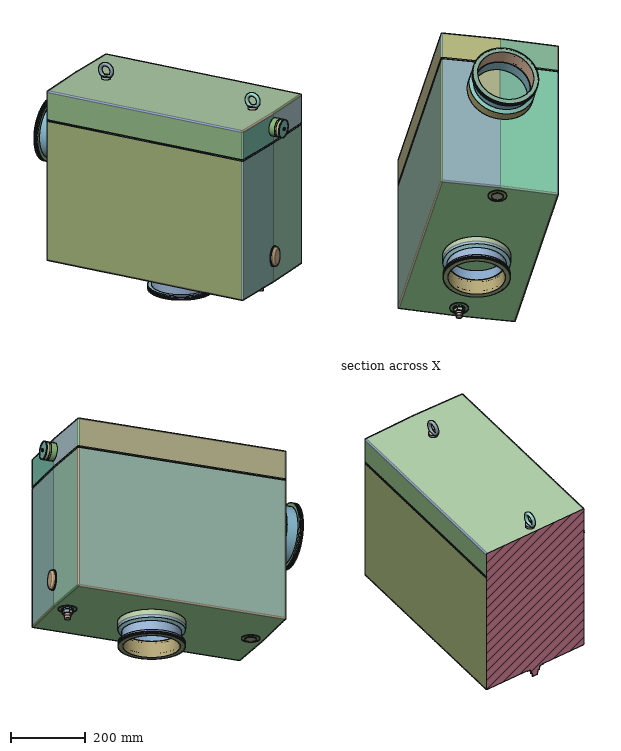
import cadquery as cq

BODY_LENGTH = 603.5
BODY_WIDTH = 320.0
BODY_HEIGHT = 486.0
END_BULGE = 3.6
EDGE_RADIUS = 4.0
END_X = BODY_LENGTH / 2 + END_BULGE

LID_HEIGHT = 84.0
JOINT_CHAMFER = 2.3

DUCT_DIAMETER = 160.0
COLLAR_DIAMETER = 180.0
SEAL_DIAMETER = 180.0
SEAL_GROOVE_DIAMETER = 176.0
SEAL_LENGTH = 12.0
SEAL_INNER_LIP = 4.6
SEAL_GROOVE = 4.0
BORE_DIAMETER = 150.0
MOUTH_DIAMETER = 153.0
MOUTH_DEPTH = 46.0
BORE_RECESS = 5.5

SIDE_SPIGOT_REACH = 74.8
SIDE_RIM_DIAMETER = COLLAR_DIAMETER
SIDE_RIM_LENGTH = 13.0
SIDE_COLLAR_LENGTH = 25.5
SIDE_SHOULDER_LENGTH = 6.5
SIDE_SPIGOT_Z = 311.5

BOTTOM_SPIGOT_REACH = 70.0
BOTTOM_RIM_DIAMETER = 183.0
BOTTOM_RIM_LENGTH = 15.0
BOTTOM_COLLAR_LENGTH = 22.5
BOTTOM_SHOULDER_LENGTH = 5.5
BOTTOM_SPIGOT_X = 21.5

EYE_SPACING = 450.0
EYE_MIDDLE_X = 15.5
EYE_HEIGHT = 45.0
EYE_OUTER_DIAMETER = 45.0
EYE_HOLE_DIAMETER = 25.0
EYE_BASE_DIAMETER = 25.0
EYE_BASE_HEIGHT = 7.0

KNOB_DIAMETER = 50.0
KNOB_LENGTH = 31.01
KNOB_Z = 446.0
KNOB_GROOVE_START = 15.8
KNOB_GROOVE_WIDTH = 4.5
KNOB_GROOVE_DEPTH = 0.5
KNOB_CAP_LENGTH = 2.5
KNOB_CAP_DIAMETER = 49.4
KNOB_PIN_DIAMETER = 8.0
KNOB_PIN_LENGTH = 2.5

SOCKET_HEIGHT = 58.0
SOCKET_WIDTH = 40.0
SOCKET_DEPTH = 11.5
SOCKET_PLATE_THICKNESS = 2.5
SOCKET_PLATE_RIM = 1.5
SOCKET_EDGE_RADIUS = 5.5
SOCKET_Z = 76.0

FITTING_WASHER_DIAMETER = 50.0
FITTING_WASHER_THICKNESS = 2.0
FITTING_FLANGE_DIAMETER = 32.0
PLUG_X = -265.0
PLUG_HEAD_THICKNESS = 2.5
DRAIN_X = 265.0
DRAIN_FLANGE_THICKNESS = 4.0
DRAIN_HEX_FLATS = 25.0
DRAIN_HEX_HEIGHT = 9.0
BARB_ROOT_DIAMETER = 17.9
BARB_DIAMETER = 19.8
BARB_LENGTH = 6.0
NOSE_DIAMETER = 17.0
NOSE_TIP_DIAMETER = 16.0
NOSE_LENGTH = 8.0

EMBED = 10.0


def revolve_profile(points):
    """Solid of revolution about Z from (radius, height) points starting and ending on the axis."""
    return cq.Workplane("XZ").polyline(points).close().revolve(360, (0, 0, 0), (0, 1, 0))


def cylinder_stack(sections):
    """Coaxial (diameter, length) cylinders stacked upwards from Z = 0."""
    points = [(0, 0)]
    height = 0
    for diameter, length in sections:
        points.append((diameter / 2, height))
        height += length
        points.append((diameter / 2, height))
    points.append((0, height))
    return revolve_profile(points)


def end_folded_block(inset, z_bottom, z_top):
    """Upright block with the housing outline, moved inwards by `inset`."""
    half_length = BODY_LENGTH / 2 - inset
    half_width = BODY_WIDTH / 2 - inset
    ridge_x = END_X - inset
    outline = [
        (-half_length, -half_width),
        (half_length, -half_width),
        (ridge_x, 0),
        (half_length, half_width),
        (-half_length, half_width),
        (-ridge_x, 0),
    ]
    return cq.Workplane("XY").workplane(offset=z_bottom).polyline(outline).close().extrude(z_top - z_bottom)


def make_body():
    """Lower housing and lid, chamfered where they meet so that the joint is a V-groove."""
    joint_z = BODY_HEIGHT - LID_HEIGHT
    housing = end_folded_block(0, 0, joint_z).edges("|Z").edges("<Y or >Y").fillet(EDGE_RADIUS)
    housing = housing.faces("<Z").edges().fillet(EDGE_RADIUS)
    housing = housing.faces(">Z").edges().chamfer(JOINT_CHAMFER)
    lid = end_folded_block(0, joint_z, BODY_HEIGHT).edges("|Z").edges("<Y or >Y").fillet(EDGE_RADIUS)
    lid = lid.faces(">Z").edges().fillet(EDGE_RADIUS)
    lid = lid.faces("<Z").edges().chamfer(JOINT_CHAMFER)
    return housing.union(lid)


def make_spigot(reach, rim_diameter, rim_length, collar_length, shoulder_length):
    """Spigot along +Z: rim, collar, conical shoulder, duct tube and a lip seal at the open end."""
    rim_radius = rim_diameter / 2
    duct_radius = DUCT_DIAMETER / 2
    tube = revolve_profile([
        (0, -EMBED),
        (rim_radius, -EMBED),
        (rim_radius, rim_length),
        (COLLAR_DIAMETER / 2, collar_length),
        (duct_radius, collar_length + shoulder_length),
        (duct_radius, reach),
        (0, reach),
    ])
    outer_lip = SEAL_LENGTH - SEAL_INNER_LIP - SEAL_GROOVE
    seal = cylinder_stack([
        (SEAL_DIAMETER, SEAL_INNER_LIP),
        (SEAL_GROOVE_DIAMETER, SEAL_GROOVE),
        (SEAL_DIAMETER, outer_lip),
    ])
    return tube.union(seal.translate((0, 0, reach - SEAL_LENGTH)))


def make_spigot_bore(reach):
    """Stepped bore of a spigot along +Z, reaching past the wall into the housing."""
    narrow_length = reach - MOUTH_DEPTH + EMBED
    bore = cylinder_stack([(BORE_DIAMETER, narrow_length), (MOUTH_DIAMETER, MOUTH_DEPTH)])
    return bore.translate((0, 0, -EMBED))


def make_eye():
    """Lifting eye standing on Z = 0 with its ring in the XZ plane."""
    tube_radius = (EYE_OUTER_DIAMETER - EYE_HOLE_DIAMETER) / 4
    ring_radius = (EYE_OUTER_DIAMETER + EYE_HOLE_DIAMETER) / 4
    ring_z = EYE_HEIGHT - EYE_OUTER_DIAMETER / 2
    ring = cq.Workplane("XY").center(ring_radius, 0).circle(tube_radius)
    ring = ring.revolve(360, (-ring_radius, 0, 0), (-ring_radius, 1, 0)).translate((0, 0, ring_z))
    base = cylinder_stack([(EYE_BASE_DIAMETER, EYE_BASE_HEIGHT + EMBED)]).translate((0, 0, -EMBED))
    return base.union(ring)


def make_knob():
    """Knob along +Z with a shallow groove and a small pin on its face."""
    groove_diameter = KNOB_DIAMETER - 2 * KNOB_GROOVE_DEPTH
    groove_end = KNOB_GROOVE_START + KNOB_GROOVE_WIDTH
    knob = cylinder_stack([
        (KNOB_DIAMETER, KNOB_GROOVE_START + EMBED),
        (groove_diameter, KNOB_GROOVE_WIDTH),
        (KNOB_DIAMETER, KNOB_LENGTH - KNOB_CAP_LENGTH - groove_end),
        (KNOB_CAP_DIAMETER, KNOB_CAP_LENGTH),
        (KNOB_PIN_DIAMETER, KNOB_PIN_LENGTH),
    ])
    return knob.translate((0, 0, -EMBED))


def make_socket():
    """Oval socket along +X: thin base plate carrying a slightly smaller block with a rounded edge."""
    half_width = SOCKET_WIDTH / 2
    half_height = SOCKET_HEIGHT / 2
    plate = cq.Workplane("YZ").ellipse(half_width, half_height).extrude(SOCKET_PLATE_THICKNESS + EMBED)
    block = cq.Workplane("YZ").ellipse(half_width - SOCKET_PLATE_RIM, half_height - SOCKET_PLATE_RIM)
    block = block.extrude(SOCKET_DEPTH + EMBED).faces(">X").edges().fillet(SOCKET_EDGE_RADIUS)
    return plate.union(block).translate((-EMBED, 0, 0))


def make_plug():
    """Flat plug along +Z: washer and low round head."""
    return cylinder_stack([
        (FITTING_WASHER_DIAMETER, FITTING_WASHER_THICKNESS + EMBED),
        (FITTING_FLANGE_DIAMETER, PLUG_HEAD_THICKNESS),
    ]).translate((0, 0, -EMBED))


def make_drain():
    """Drain connector along +Z: washer, flange, hexagon and a hose barb with a tapered nose."""
    hex_start = FITTING_WASHER_THICKNESS + DRAIN_FLANGE_THICKNESS
    base = cylinder_stack([
        (FITTING_WASHER_DIAMETER, FITTING_WASHER_THICKNESS + EMBED),
        (FITTING_FLANGE_DIAMETER, DRAIN_FLANGE_THICKNESS),
    ]).translate((0, 0, -EMBED))
    hexagon = cq.Workplane("XY").workplane(offset=hex_start)
    hexagon = hexagon.polygon(6, DRAIN_HEX_FLATS, circumscribed=True).extrude(DRAIN_HEX_HEIGHT)
    barb = revolve_profile([
        (0, 0),
        (BARB_DIAMETER / 2, 0),
        (BARB_ROOT_DIAMETER / 2, BARB_LENGTH),
        (NOSE_DIAMETER / 2, BARB_LENGTH),
        (NOSE_TIP_DIAMETER / 2, BARB_LENGTH + NOSE_LENGTH),
        (0, BARB_LENGTH + NOSE_LENGTH),
    ]).translate((0, 0, hex_start + DRAIN_HEX_HEIGHT))
    return base.union(hexagon).union(barb)


def on_left_wall(shape, z):
    return shape.rotate((0, 0, 0), (0, 1, 0), -90).translate((-END_X, 0, z))


def on_right_wall(shape, z):
    return shape.rotate((0, 0, 0), (0, 1, 0), 90).translate((END_X, 0, z))


def under_floor(shape, x):
    return shape.rotate((0, 0, 0), (1, 0, 0), 180).translate((x, 0, 0))


side_spigot = make_spigot(
    SIDE_SPIGOT_REACH, SIDE_RIM_DIAMETER, SIDE_RIM_LENGTH, SIDE_COLLAR_LENGTH, SIDE_SHOULDER_LENGTH
)
bottom_spigot = make_spigot(
    BOTTOM_SPIGOT_REACH, BOTTOM_RIM_DIAMETER, BOTTOM_RIM_LENGTH, BOTTOM_COLLAR_LENGTH, BOTTOM_SHOULDER_LENGTH
)
core = end_folded_block(BORE_RECESS, BORE_RECESS, BODY_HEIGHT - BORE_RECESS)
side_bore = on_left_wall(make_spigot_bore(SIDE_SPIGOT_REACH), SIDE_SPIGOT_Z).cut(core)
bottom_bore = under_floor(make_spigot_bore(BOTTOM_SPIGOT_REACH), BOTTOM_SPIGOT_X).cut(core)

result = make_body()
result = result.union(on_left_wall(side_spigot, SIDE_SPIGOT_Z)).cut(side_bore)
result = result.union(under_floor(bottom_spigot, BOTTOM_SPIGOT_X)).cut(bottom_bore)
for side in (-1, 1):
    eye_x = EYE_MIDDLE_X + side * EYE_SPACING / 2
    result = result.union(make_eye().translate((eye_x, 0, BODY_HEIGHT)))
result = result.union(on_right_wall(make_knob(), KNOB_Z))
result = result.union(make_socket().translate((END_X, 0, SOCKET_Z)))
result = result.union(under_floor(make_plug(), PLUG_X))
result = result.union(under_floor(make_drain(), DRAIN_X))